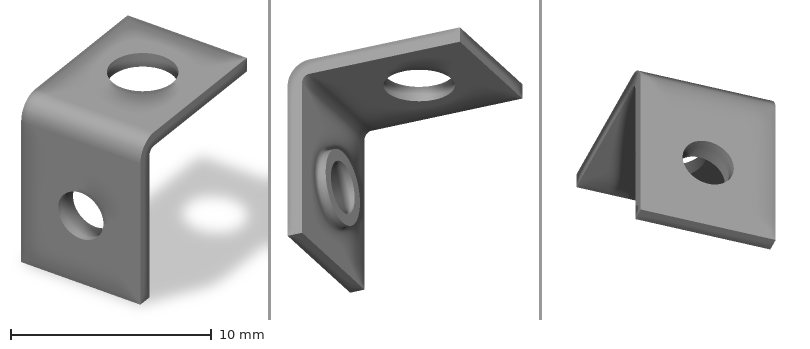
import cadquery as cq

width = 7.14
leg_length = 9.53
thickness = 0.8
bend_outer_radius = 1.2
bend_inner_radius = bend_outer_radius - thickness

hole_edge_distance = 3.98
top_hole_diameter = 3.56
collar_hole_diameter = 2.71

collar_diameter = 3.92
collar_height = 0.52
collar_root_radius = 0.17

top_hole_y = leg_length - hole_edge_distance
collar_z = hole_edge_distance - leg_length


def make_bracket():
    """L-shaped sheet: one leg along +Y, the other along -Z, joined by a round bend."""
    body = (
        cq.Workplane("YZ")
        .moveTo(0, 0)
        .lineTo(leg_length, 0)
        .lineTo(leg_length, -thickness)
        .lineTo(thickness, -thickness)
        .lineTo(thickness, -leg_length)
        .lineTo(0, -leg_length)
        .close()
        .extrude(width / 2, both=True)
    )
    outer_corner = cq.selectors.NearestToPointSelector((0, 0, 0))
    inner_corner = cq.selectors.NearestToPointSelector((0, thickness, -thickness))
    body = body.edges("|X").edges(outer_corner).fillet(bend_outer_radius)
    return body.edges("|X").edges(inner_corner).fillet(bend_inner_radius)


def make_collar():
    """Round collar with a concave fillet at its root, revolved about its own axis."""
    radius = collar_diameter / 2
    root_y = thickness + collar_root_radius
    tip_y = thickness + collar_height
    fillet_middle = collar_root_radius * (1 - 0.5**0.5)
    profile = (
        cq.Workplane("XY")
        .moveTo(0, 0)
        .lineTo(radius + collar_root_radius, 0)
        .lineTo(radius + collar_root_radius, thickness)
        .threePointArc((radius + fillet_middle, thickness + fillet_middle), (radius, root_y))
        .lineTo(radius, tip_y)
        .lineTo(0, tip_y)
        .close()
    )
    return profile.revolve(360, (0, 0), (0, 1)).translate((0, 0, collar_z))


top_hole = (
    cq.Workplane("XY")
    .center(0, top_hole_y)
    .circle(top_hole_diameter / 2)
    .extrude(-thickness)
)
collar_hole = (
    cq.Workplane("XZ")
    .center(0, collar_z)
    .circle(collar_hole_diameter / 2)
    .extrude(-(thickness + collar_height))
)

result = make_bracket().union(make_collar()).cut(top_hole).cut(collar_hole)